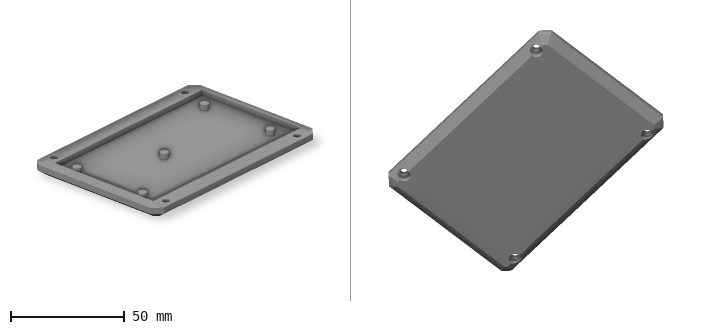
import cadquery as cq
import math

width = 73.6
length = 107.2
thickness = 6.0
band_height = thickness / 2
taper_height = thickness - band_height
taper_inset = 4.0
front_right_corner_cut = 4.1
back_corner_cut = 3.8
front_left_corner_cut = 3.0

pocket_depth = 3.0
side_rim = 7.8
front_rim = 6.0
back_rim = 3.0

peg_diameter = 4.0
peg_height = pocket_depth
peg_pitch_x = 38.6
peg_pitch_y = 84.9
front_peg_from_edge = 9.9
middle_peg_from_edge = 46.2

hole_diameter = 3.5
hole_side_inset = 4.0
hole_end_inset = 10.0
counterbore_diameter = 5.7
counterbore_depth = taper_height


def cut_corner_outline():
    """Plate outline at the lower edge of the straight band; the front corners have their own cuts."""
    x = width / 2
    y = length / 2
    corners = [
        (-x + front_left_corner_cut, -y),
        (x - front_right_corner_cut, -y),
        (x, -y + front_right_corner_cut),
        (x, y - back_corner_cut),
        (x - back_corner_cut, y),
        (-x + back_corner_cut, y),
        (-x, y - back_corner_cut),
        (-x, -y + front_left_corner_cut),
    ]
    return cq.Workplane("XY").workplane(offset=taper_height).polyline(corners).close()


def make_plate():
    """Straight-sided band whose underside draws inward toward the bottom face."""
    taper_angle = math.degrees(math.atan2(taper_inset, taper_height))
    band = cut_corner_outline().extrude(band_height)
    underside = cut_corner_outline().extrude(-taper_height, taper=taper_angle)
    return band.union(underside)


def make_pocket():
    """Rectangular recess, nearer to the back edge than to the front edge."""
    pocket_width = width - 2 * side_rim
    pocket_length = length - front_rim - back_rim
    return (
        cq.Workplane("XY")
        .workplane(offset=thickness - pocket_depth)
        .center(0, (front_rim - back_rim) / 2)
        .rect(pocket_width, pocket_length)
        .extrude(pocket_depth)
    )


def make_pegs():
    """Four pegs in a rectangle and one on the centreline."""
    front_y = front_peg_from_edge - length / 2
    middle_y = middle_peg_from_edge - length / 2
    positions = [(0, middle_y)]
    for x in (-peg_pitch_x / 2, peg_pitch_x / 2):
        for y in (front_y, front_y + peg_pitch_y):
            positions.append((x, y))
    return (
        cq.Workplane("XY")
        .workplane(offset=thickness - pocket_depth)
        .pushPoints(positions)
        .circle(peg_diameter / 2)
        .extrude(peg_height)
    )


def make_screw_holes():
    """Through holes near the corners, counterbored from the bottom face."""
    centres = cq.Workplane("XY").rect(
        width - 2 * hole_side_inset, length - 2 * hole_end_inset, forConstruction=True
    ).vertices()
    holes = centres.circle(hole_diameter / 2).extrude(thickness)
    counterbores = centres.circle(counterbore_diameter / 2).extrude(counterbore_depth)
    return holes.union(counterbores)


result = make_plate().cut(make_pocket()).union(make_pegs()).cut(make_screw_holes())